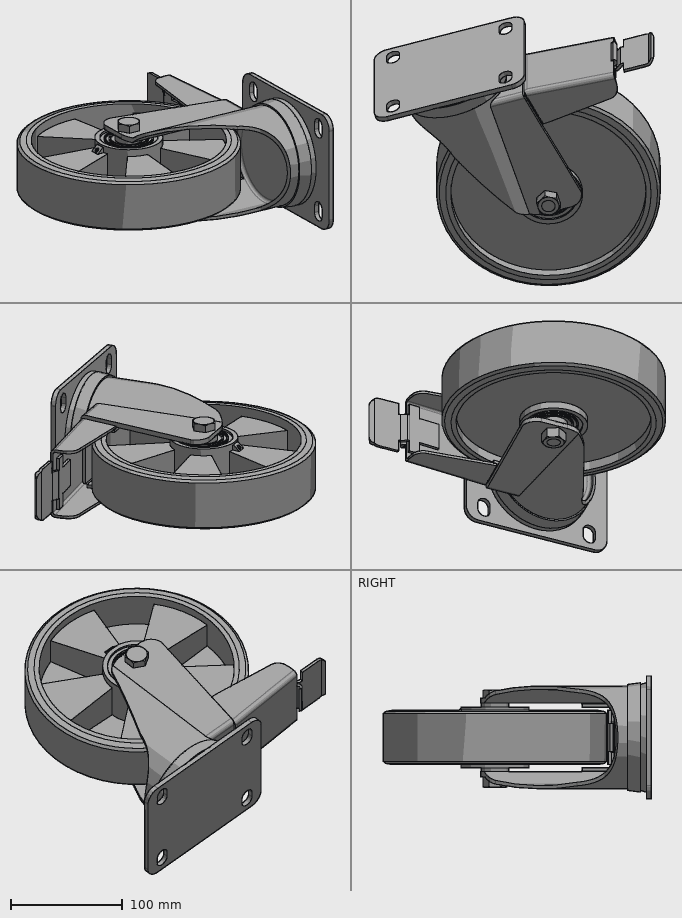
import cadquery as cq
import math


TYRE_RADIUS = 100.0
TYRE_HALF_WIDTH = 24.5
TREAD_HALF_WIDTH = 21.5
TYRE_SHOULDER_RADIUS = 97.5
TYRE_SHOULDER_HALF_WIDTH = 23.5
RIM_RADIUS = 91.8
RIM_INNER_RADIUS = 87.3
HUB_RADIUS = 30.5
HUB_HALF_LENGTH = 27.2
HUB_RECESS_DIAMETER = 52.0
HUB_RECESS_DEPTH = 2.0
SEAL_RING_DIAMETERS = [(44.3, 41.5), (35.7, 32.7)]
SEAL_RING_HEIGHT = 1.3
SPOKE_COUNT = 5
SPOKE_ANGLE = 180 / SPOKE_COUNT
FIRST_POCKET_EDGE = 90 - SPOKE_ANGLE / 2
SPOKE_HUB_HEIGHT = 20.5
SPOKE_RIM_HEIGHT = 15.5
POCKET_HUB_FLOOR = -14.5
POCKET_RIM_FLOOR = -11.8
NIPPLE_WIDTH = 9.5
NIPPLE_LENGTH = 11.0
NIPPLE_TIP_Y = -34.2
NIPPLE_TIP_Z = 22.5
NIPPLE_TILT = 45
NIPPLE_BORE = 4.0
NIPPLE_BORE_DEPTH = 1.5

BOLT_DIAMETER = 12.0
SLEEVE_DIAMETER = 25.0
HEX_ACROSS_FLATS = 18.9
HEAD_HEIGHT = 7.3
NUT_HEIGHT = 9.5
HEX_CHAMFER_ANGLE = 30

SWIVEL_X = 50.0
PLATE_TOP = 139.8
PLATE_LENGTH = 140.3
PLATE_WIDTH = 110.0
PLATE_THICKNESS = 4.5
PLATE_CORNER_RADIUS = 12.0
SLOT_PITCH_X = 105.1
SLOT_PITCH_Z = 80.0
SLOT_LENGTH = 18.0
SLOT_WIDTH = 12.0
PLATE_BOTTOM = PLATE_TOP - PLATE_THICKNESS
HEAD_NECK_RADIUS = 47.5
HEAD_RIDGE_RADIUS = 49.0
HEAD_RIDGE_Y = 130.3
HEAD_BOTTOM_RADIUS = 47.5

FORK_TOP = 118.7
TUBE_RADIUS = 46.0
TUBE_INNER_RADIUS = 43.0
CROWN_THICKNESS = 4.5
CROWN_FILLET = 3.0
CHEEK_OUTER_Z = 35.2
CHEEK_THICKNESS = 4.5
CHEEK_TOP = 114.7
CHEEK_BOTTOM = -12.8
CHEEK_INNER_Z = CHEEK_OUTER_Z - CHEEK_THICKNESS
EDGE_BASE_X = -30.7
EDGE_SLOPE = 0.175

BRAKE_LEFT = -94.0
BRAKE_TILT = 4
BRAKE_GAP = 1.5
BRAKE_BOTTOM = 77.5
COVER_LEFT_TOP = 109.2
COVER_HALF_WIDTH = 32.5
COVER_THICKNESS = 2.5
COVER_BEND_RADIUS = 4.5
TONGUE_HALF_WIDTH = 14.5
LEVER_LEFT_TOP = 103.4
LEVER_THICKNESS = 2.8
WIDE_PLATE_HALF_WIDTH = 24.5
WIDE_PLATE_RIGHT = -83.5
NARROW_PLATE_HALF_WIDTH = 12.5
NARROW_PLATE_RIGHT = -63.5
ARM_OUTER_Z = COVER_HALF_WIDTH - COVER_THICKNESS
ARM_THICKNESS = 3.0
ARM_LEFT = -21.1
ARM_RIGHT = 17.5
ARM_BOTTOM = 78.0
ARM_TOP = 104.5
PEDAL_TIP_X = -131.3
PEDAL_TIP_Y = 107.1
PEDAL_BEND_X = -127.0
PEDAL_TOP = 107.0
PEDAL_RIGHT = -102.9
PEDAL_HALF_WIDTH = 24.6
PEDAL_CORNER_RADIUS = 9.0
NECK_HALF_WIDTH = 13.5


def disc(radius, y_low, y_high):
    """Cylinder on the swivel axis between two heights."""
    return cq.Workplane("XZ", origin=(SWIVEL_X, y_high, 0)).circle(radius).extrude(y_high - y_low)


def drum(radius, half_length):
    """Cylinder on the wheel axis, centred on the wheel plane."""
    return cq.Workplane("XY", origin=(0, 0, -half_length)).circle(radius).extrude(2 * half_length)


def channel(left, top, length, depth, half_width, thickness, bend_radius, tilt):
    """Downward open U channel along X, with round bends, tilted about its upper left end."""
    section = (
        cq.Workplane("YZ")
        .center(-depth / 2, 0)
        .rect(depth, 2 * half_width)
        .extrude(length)
        .edges("|X and >Y")
        .fillet(bend_radius)
    )
    hollow = (
        cq.Workplane("YZ")
        .center(-depth / 2 - thickness, 0)
        .rect(depth, 2 * (half_width - thickness))
        .extrude(length)
        .edges("|X and >Y")
        .fillet(bend_radius - thickness)
    )
    return section.cut(hollow).rotate((0, 0, 0), (0, 0, 1), tilt).translate((left, top, 0))


def fork_edge_x(y):
    """X of the sloped left edge of the fork at height y."""
    return EDGE_BASE_X + EDGE_SLOPE * y


def make_mounting_plate():
    plate = (
        cq.Workplane("XZ", origin=(SWIVEL_X, PLATE_TOP, 0))
        .rect(PLATE_LENGTH, PLATE_WIDTH)
        .extrude(PLATE_THICKNESS)
        .edges("|Y")
        .fillet(PLATE_CORNER_RADIUS)
    )
    slots = (
        cq.Workplane("XZ", origin=(SWIVEL_X, PLATE_TOP, 0))
        .rect(SLOT_PITCH_X, SLOT_PITCH_Z, forConstruction=True)
        .vertices()
        .slot2D(SLOT_LENGTH, SLOT_WIDTH, 90)
        .extrude(PLATE_THICKNESS)
    )
    head = (
        cq.Workplane("XY")
        .moveTo(0, PLATE_BOTTOM)
        .lineTo(HEAD_RIDGE_RADIUS, PLATE_BOTTOM)
        .lineTo(HEAD_NECK_RADIUS, HEAD_RIDGE_Y)
        .lineTo(HEAD_RIDGE_RADIUS, HEAD_RIDGE_Y)
        .lineTo(HEAD_BOTTOM_RADIUS, FORK_TOP)
        .lineTo(0, FORK_TOP)
        .close()
        .revolve(360, (0, 0, 0), (0, 1, 0))
        .translate((SWIVEL_X, 0, 0))
    )
    return plate.cut(slots).union(head)


def make_fork():
    tube_right = SWIVEL_X + TUBE_RADIUS
    outline = (
        cq.Workplane("XY")
        .moveTo(fork_edge_x(FORK_TOP), FORK_TOP)
        .lineTo(tube_right, FORK_TOP)
        .lineTo(tube_right, 110.0)
        .threePointArc((76.2, 94.5), (65.6, 73.2))
        .lineTo(30.7, 0.5)
        .threePointArc((19.9, -9.5), (7.3, CHEEK_BOTTOM))
        .lineTo(-18.5, CHEEK_BOTTOM)
        .threePointArc((-27.0, -8.5), (EDGE_BASE_X, 0))
        .close()
        .extrude(CHEEK_OUTER_Z + TUBE_RADIUS, both=True)
    )
    cheek_height = CHEEK_TOP - CHEEK_BOTTOM
    cheek_middle = (CHEEK_TOP + CHEEK_BOTTOM) / 2
    cheek_length = SWIVEL_X - EDGE_BASE_X
    cheek_block = (
        cq.Workplane("YZ", origin=(EDGE_BASE_X, cheek_middle, 0))
        .rect(cheek_height, 2 * CHEEK_OUTER_Z)
        .extrude(cheek_length)
        .edges("|X and >Y")
        .fillet(CHEEK_THICKNESS)
    )
    cheek_opening = (
        cq.Workplane("YZ", origin=(EDGE_BASE_X, cheek_middle - CHEEK_THICKNESS, 0))
        .rect(cheek_height, 2 * CHEEK_INNER_Z)
        .extrude(cheek_length)
    )
    tube_bore = disc(TUBE_INNER_RADIUS, CHEEK_BOTTOM, FORK_TOP - CROWN_THICKNESS).faces(">Y").edges()
    tube_bore = tube_bore.fillet(CROWN_FILLET)
    body = cheek_block.union(disc(TUBE_RADIUS, CHEEK_BOTTOM, FORK_TOP)).cut(cheek_opening).cut(tube_bore)
    bolt_hole = drum(BOLT_DIAMETER / 2, CHEEK_OUTER_Z)
    return body.intersect(outline).cut(bolt_hole)


def brake_outline():
    """Side outline of the brake cover, ending just short of the fork edge."""
    right_edge = fork_edge_x(CHEEK_TOP) - BRAKE_GAP
    return (
        cq.Workplane("XY")
        .moveTo(BRAKE_LEFT, CHEEK_TOP)
        .lineTo(right_edge, CHEEK_TOP)
        .lineTo(fork_edge_x(BRAKE_BOTTOM) - BRAKE_GAP, BRAKE_BOTTOM)
        .lineTo(-25.2, 78)
        .lineTo(-82.5, 85.5)
        .threePointArc((-90.5, 89.0), (-93.5, 96.5))
        .lineTo(BRAKE_LEFT, 99.3)
        .close()
        .extrude(COVER_HALF_WIDTH, both=True)
    )


def make_brake_cover():
    """Tilted channel with a curled tongue at its left end and two arms that reach inside the fork."""
    length = 100.5
    lead = 5
    blank_top = COVER_LEFT_TOP - lead * math.tan(math.radians(BRAKE_TILT))
    blank = channel(BRAKE_LEFT - lead, blank_top, length, length / 2,
                    COVER_HALF_WIDTH, COVER_THICKNESS, COVER_BEND_RADIUS, BRAKE_TILT)
    cover = blank.intersect(brake_outline())
    web_bottom = COVER_LEFT_TOP - COVER_THICKNESS
    tongue = (
        cq.Workplane("XY")
        .moveTo(BRAKE_LEFT, web_bottom)
        .threePointArc((-97.5, 109.0), (-95.0, 114.0))
        .lineTo(-93, 113.0)
        .threePointArc((-95.3, 110.7), (BRAKE_LEFT, COVER_LEFT_TOP))
        .close()
        .extrude(TONGUE_HALF_WIDTH, both=True)
    )
    arm = (
        cq.Workplane("XY")
        .moveTo(ARM_LEFT, ARM_BOTTOM)
        .lineTo(ARM_RIGHT, ARM_BOTTOM)
        .lineTo(ARM_RIGHT, ARM_TOP)
        .lineTo(ARM_LEFT, ARM_TOP)
        .close()
        .extrude(ARM_THICKNESS)
        .translate((0, 0, ARM_OUTER_Z - ARM_THICKNESS))
    )
    return cover.union(tongue).union(arm).union(arm.mirror("XY"))


def lever_plate(right, half_width):
    """Tilted plate from the left end of the brake, level with the neck, to a right end."""
    right_top = LEVER_LEFT_TOP + (right - BRAKE_LEFT) * math.tan(math.radians(BRAKE_TILT))
    return (
        cq.Workplane("XY")
        .moveTo(BRAKE_LEFT, LEVER_LEFT_TOP - LEVER_THICKNESS)
        .lineTo(right, right_top - LEVER_THICKNESS)
        .lineTo(right, right_top)
        .lineTo(BRAKE_LEFT, LEVER_LEFT_TOP)
        .close()
        .extrude(half_width, both=True)
    )


def make_brake_lever():
    plates = lever_plate(WIDE_PLATE_RIGHT, WIDE_PLATE_HALF_WIDTH)
    plates = plates.union(lever_plate(NARROW_PLATE_RIGHT, NARROW_PLATE_HALF_WIDTH))
    pedal_bottom = PEDAL_TOP - LEVER_THICKNESS
    lever_bottom = LEVER_LEFT_TOP - LEVER_THICKNESS
    strip = (
        cq.Workplane("XY")
        .moveTo(PEDAL_TIP_X, PEDAL_TIP_Y)
        .lineTo(PEDAL_BEND_X, pedal_bottom)
        .lineTo(-101.0, pedal_bottom)
        .lineTo(-95.8, lever_bottom)
        .lineTo(BRAKE_LEFT, lever_bottom)
        .lineTo(BRAKE_LEFT, LEVER_LEFT_TOP)
        .lineTo(-95.0, LEVER_LEFT_TOP)
        .lineTo(-99.8, PEDAL_TOP)
        .lineTo(-126.3, PEDAL_TOP)
        .lineTo(-129.3, 109.5)
        .close()
        .extrude(PEDAL_HALF_WIDTH, both=True)
    )
    pad_length = PEDAL_RIGHT - PEDAL_TIP_X
    pad_plan = (
        cq.Workplane("XZ", origin=(PEDAL_TIP_X + pad_length / 2, CHEEK_TOP, 0))
        .rect(pad_length, 2 * PEDAL_HALF_WIDTH)
        .extrude(CHEEK_TOP)
        .edges("|Y and <X")
        .fillet(PEDAL_CORNER_RADIUS)
    )
    neck_length = BRAKE_LEFT - PEDAL_RIGHT
    neck_plan = (
        cq.Workplane("XZ", origin=(PEDAL_RIGHT + neck_length / 2, CHEEK_TOP, 0))
        .rect(neck_length, 2 * NECK_HALF_WIDTH)
        .extrude(CHEEK_TOP)
    )
    return plates.union(strip.intersect(pad_plan.union(neck_plan)))


def make_tyre():
    return (
        cq.Workplane("XZ")
        .moveTo(RIM_RADIUS, -TYRE_HALF_WIDTH)
        .lineTo(TYRE_SHOULDER_RADIUS, -TYRE_SHOULDER_HALF_WIDTH)
        .lineTo(TYRE_RADIUS, -TREAD_HALF_WIDTH)
        .lineTo(TYRE_RADIUS, TREAD_HALF_WIDTH)
        .lineTo(TYRE_SHOULDER_RADIUS, TYRE_SHOULDER_HALF_WIDTH)
        .lineTo(RIM_RADIUS, TYRE_HALF_WIDTH)
        .close()
        .revolve(360, (0, 0, 0), (0, 1, 0))
    )


def make_spoke_disc():
    """Coned disc between hub and rim with pockets sunk from +Z, leaving one spoke pointing to -Y."""
    profile = [
        (0, -SPOKE_HUB_HEIGHT),
        (HUB_RADIUS, -SPOKE_HUB_HEIGHT),
        (RIM_INNER_RADIUS, -SPOKE_RIM_HEIGHT),
        (RIM_INNER_RADIUS, SPOKE_RIM_HEIGHT),
        (HUB_RADIUS, SPOKE_HUB_HEIGHT),
        (0, SPOKE_HUB_HEIGHT),
    ]
    disc_body = cq.Workplane("XZ").polyline(profile).close().revolve(360, (0, 0, 0), (0, 1, 0))
    pocket_profile = [
        (0, POCKET_HUB_FLOOR),
        (HUB_RADIUS, POCKET_HUB_FLOOR),
        (RIM_INNER_RADIUS, POCKET_RIM_FLOOR),
        (RIM_INNER_RADIUS, SPOKE_HUB_HEIGHT),
        (0, SPOKE_HUB_HEIGHT),
    ]
    pocket = cq.Workplane("XZ").polyline(pocket_profile).close().revolve(SPOKE_ANGLE, (0, 0, 0), (0, 1, 0))
    for index in range(SPOKE_COUNT):
        direction = FIRST_POCKET_EDGE + index * 2 * SPOKE_ANGLE
        disc_body = disc_body.cut(pocket.rotate((0, 0, 0), (0, 0, 1), direction))
    return disc_body


def make_grease_nipple_block():
    """Square block on the hub, leaning outward, with a small round mouth."""
    block = (
        cq.Workplane("XY")
        .rect(NIPPLE_WIDTH, NIPPLE_WIDTH)
        .extrude(-NIPPLE_LENGTH)
        .cut(cq.Workplane("XY").circle(NIPPLE_BORE / 2).extrude(-NIPPLE_BORE_DEPTH))
    )
    return block.rotate((0, 0, 0), (1, 0, 0), NIPPLE_TILT).translate((0, NIPPLE_TIP_Y, NIPPLE_TIP_Z))


def make_wheel_core():
    rim = drum(RIM_RADIUS, TYRE_HALF_WIDTH).cut(drum(RIM_INNER_RADIUS, TYRE_HALF_WIDTH))
    core = rim.union(make_spoke_disc())
    core = core.union(make_grease_nipple_block()).union(drum(HUB_RADIUS, HUB_HALF_LENGTH))
    recess_floor = HUB_HALF_LENGTH - HUB_RECESS_DEPTH
    recess = (
        cq.Workplane("XY", origin=(0, 0, recess_floor))
        .circle(HUB_RECESS_DIAMETER / 2)
        .extrude(HUB_RECESS_DEPTH)
    )
    for outer, inner in SEAL_RING_DIAMETERS:
        ring = cq.Workplane("XY", origin=(0, 0, recess_floor)).circle(outer / 2).circle(inner / 2)
        recess = recess.cut(ring.extrude(SEAL_RING_HEIGHT))
    core = core.cut(recess).cut(recess.mirror("XY"))
    return core.cut(drum(SLEEVE_DIAMETER / 2, HUB_HALF_LENGTH))


def make_axle_sleeve():
    return drum(SLEEVE_DIAMETER / 2, CHEEK_INNER_Z).cut(drum(BOLT_DIAMETER / 2, CHEEK_INNER_Z))


def chamfered_hexagon(height):
    """Hexagon standing on Z = 0 with corners toward +Y and -Y and a turned chamfer on top."""
    corner_radius = HEX_ACROSS_FLATS / math.sqrt(3)
    flat_radius = HEX_ACROSS_FLATS / 2
    drop = (corner_radius - flat_radius) * math.tan(math.radians(HEX_CHAMFER_ANGLE))
    hexagon = cq.Workplane("XY").polygon(6, 2 * corner_radius).extrude(height)
    turned = (
        cq.Workplane("XZ")
        .lineTo(corner_radius, 0)
        .lineTo(corner_radius, height - drop)
        .lineTo(flat_radius, height)
        .lineTo(0, height)
        .close()
        .revolve(360, (0, 0, 0), (0, 1, 0))
    )
    return hexagon.rotate((0, 0, 0), (0, 0, 1), 90).intersect(turned)


def make_bolt():
    head = chamfered_hexagon(HEAD_HEIGHT).translate((0, 0, CHEEK_OUTER_Z))
    shank_end = -CHEEK_OUTER_Z - NUT_HEIGHT
    shank = cq.Workplane("XY", origin=(0, 0, shank_end)).circle(BOLT_DIAMETER / 2)
    return shank.extrude(CHEEK_OUTER_Z - shank_end).union(head)


def make_nut():
    nut = chamfered_hexagon(NUT_HEIGHT).mirror("XY").translate((0, 0, -CHEEK_OUTER_Z))
    return nut.cut(drum(BOLT_DIAMETER / 2, CHEEK_OUTER_Z + NUT_HEIGHT))


mounting_plate = make_mounting_plate()
fork = make_fork()
brake_cover = make_brake_cover()
brake_lever = make_brake_lever()
tyre = make_tyre()
wheel_core = make_wheel_core()
axle_sleeve = make_axle_sleeve()
bolt = make_bolt()
nut = make_nut()

result = cq.Compound.makeCompound([
    mounting_plate.solids().val(),
    fork.solids().val(),
    brake_cover.solids().val(),
    brake_lever.solids().val(),
    tyre.solids().val(),
    wheel_core.solids().val(),
    axle_sleeve.solids().val(),
    bolt.solids().val(),
    nut.solids().val(),
])